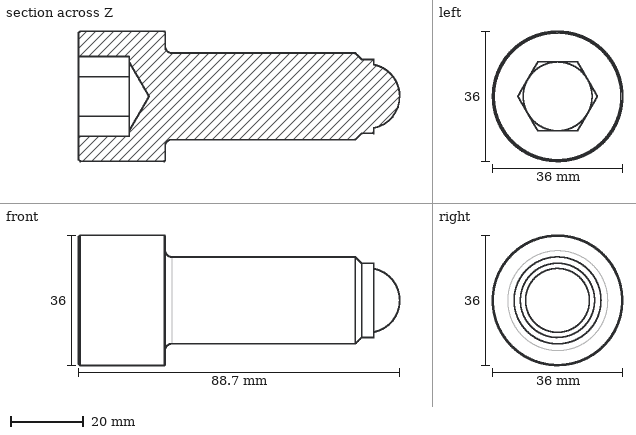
import cadquery as cq
import math


head_diameter = 36.0
head_length = 24.0
head_outer_chamfer = 0.5
head_under_chamfer = 0.25

socket_sides = 6
socket_across_flats = 19.0
socket_depth = 14.0
socket_cone_angle = 120.0

shank_diameter = 24.0
neck_fillet_radius = 1.8
tip_diameter = 20.5
tip_start = 78.15
tip_end = 81.5

overall_length = 88.7
ball_diameter = 18.0

head_radius = head_diameter / 2
shank_radius = shank_diameter / 2
tip_radius = tip_diameter / 2
tip_chamfer = shank_radius - tip_radius
ball_radius = ball_diameter / 2
ball_center = overall_length - ball_radius
ball_rim_radius = math.sqrt(ball_radius**2 - (tip_end - ball_center) ** 2)
arc_mid_angle = math.radians(45)


def make_body():
    """Revolve the half outline of head, shank, tip and ball about the X axis."""
    ball_middle = (
        ball_center + ball_radius * math.cos(arc_mid_angle),
        ball_radius * math.sin(arc_mid_angle),
    )
    fillet_offset = neck_fillet_radius * (1 - math.sin(arc_mid_angle))
    fillet_middle = (head_length + fillet_offset, shank_radius + fillet_offset)
    outline = (
        cq.Workplane("XY")
        .lineTo(0, head_radius - head_outer_chamfer)
        .lineTo(head_outer_chamfer, head_radius)
        .lineTo(head_length - head_under_chamfer, head_radius)
        .lineTo(head_length, head_radius - head_under_chamfer)
        .lineTo(head_length, shank_radius + neck_fillet_radius)
        .threePointArc(fillet_middle, (head_length + neck_fillet_radius, shank_radius))
        .lineTo(tip_start - tip_chamfer, shank_radius)
        .lineTo(tip_start, tip_radius)
        .lineTo(tip_end, tip_radius)
        .lineTo(tip_end, ball_rim_radius)
        .threePointArc(ball_middle, (overall_length, 0))
        .close()
    )
    return outline.revolve(360, (0, 0, 0), (1, 0, 0))


def make_socket():
    """Hexagon with flats facing up and down, ending in a cone as wide as the flats."""
    across_corners = socket_across_flats / math.cos(math.radians(180 / socket_sides))
    hexagon = cq.Workplane("YZ").polygon(socket_sides, across_corners).extrude(socket_depth)
    cone_radius = socket_across_flats / 2
    cone_depth = cone_radius / math.tan(math.radians(socket_cone_angle / 2))
    cone = (
        cq.Workplane("XY")
        .moveTo(socket_depth, 0)
        .lineTo(socket_depth, cone_radius)
        .lineTo(socket_depth + cone_depth, 0)
        .close()
        .revolve(360, (0, 0, 0), (1, 0, 0))
    )
    return hexagon.union(cone)


result = make_body().cut(make_socket())